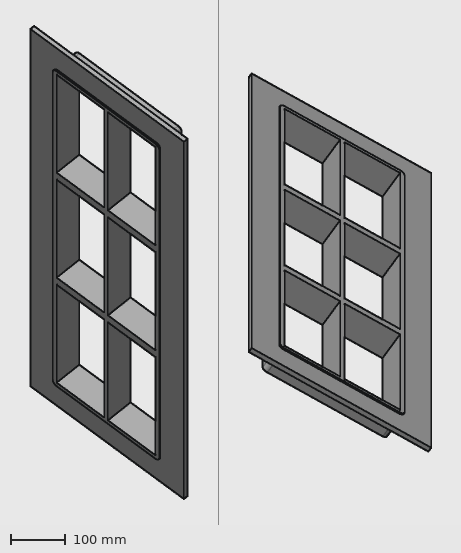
import cadquery as cq

plate_width = 391.0
plate_height = 1014.0
plate_thickness = 10.0
flange_border = 60.0

frame_depth = 60.0
front_lip = 3.0
frame_wall = 10.0
frame_corner_radius = 10.0
frame_width = plate_width - 2 * flange_border
frame_height = plate_height - 2 * flange_border

columns = 2
rows = 3
upright_bar_width = 10.0
cross_bar_height = 20.0
opening_width = (frame_width - 2 * frame_wall - (columns - 1) * upright_bar_width) / columns
opening_height = (frame_height - 2 * frame_wall - (rows - 1) * cross_bar_height) / rows


def upright_block(width, depth, height, front_y):
    """Block centred on X and Z whose front face lies at front_y."""
    return cq.Workplane("XY").box(width, depth, height).translate((0, front_y + depth / 2, 0))


def make_plate():
    return upright_block(plate_width, plate_thickness, plate_height, front_lip)


def make_frame_block():
    block = upright_block(frame_width, frame_depth, frame_height, 0)
    return block.edges("|Y").fillet(frame_corner_radius)


def make_openings():
    """Square-cornered through openings, one per grid cell."""
    opening = upright_block(opening_width, frame_depth, opening_height, 0)
    column_pitch = opening_width + upright_bar_width
    row_pitch = opening_height + cross_bar_height
    openings = cq.Workplane("XY")
    for column in range(columns):
        x = (column - (columns - 1) / 2) * column_pitch
        for row in range(rows):
            z = (row - (rows - 1) / 2) * row_pitch
            openings = openings.add(opening.translate((x, 0, z)))
    return openings.combine()


result = make_plate().union(make_frame_block()).cut(make_openings())